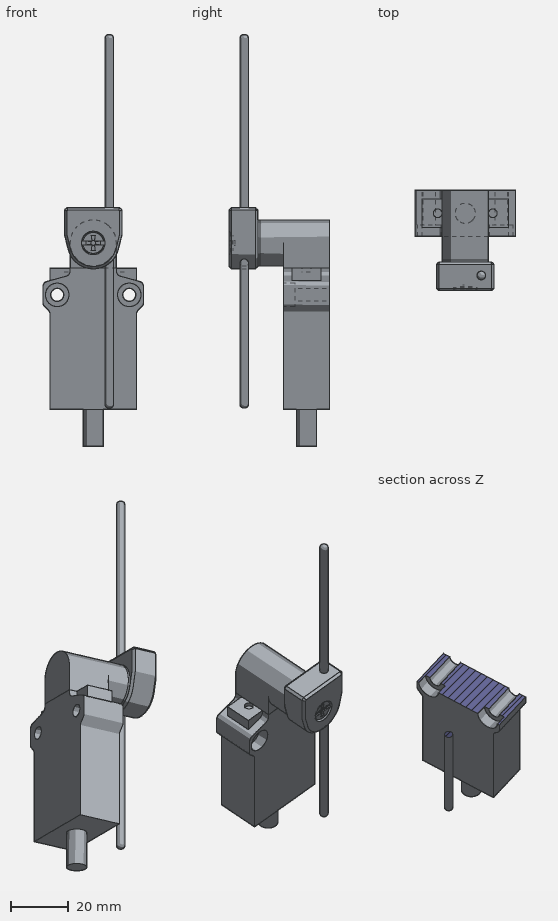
import cadquery as cq
import math


body_width = 30.0
body_depth = 16.0
body_bottom = 12.9
body_top = 62.0
neck_width = 16.0
ear_span = 35.0
ear_bottom = 49.2
shoulder_angle = 15.0
shoulder_bottom = 57.0
outline_radius = 2.0

mount_spacing = 25.0
mount_height = 52.7
mount_diameter = 4.5
counterbore_diameter = 8.2
counterbore_depth = 4.0

block_depth = 10.0
block_bottom = mount_height
block_hole_offset = 9.6
block_hole_diameter = 3.0
block_hole_depth = 1.5

cable_diameter = 7.0

barrel_height = 70.7
barrel_diameter = neck_width
barrel_length = 24.2

hub_length = 0.7
clamp_width = 20.0
clamp_thickness = 10.0
clamp_top = 83.0
clamp_side_bottom = 73.5
clamp_end_radius = 9.0
clamp_chamfer = 0.9
clamp_back = barrel_length + hub_length

screw_diameter = 8.2
screw_floor_diameter = 7.3
screw_recess = 0.6
slot_width = 1.5
slot_depth = 0.6
cross_reach = 2.6
cross_tip_width = 1.5
cross_root_width = 0.6
cross_depth = 0.9
cross_center_diameter = 1.7
cross_center_depth = 1.5

rod_diameter = 3.0
rod_offset = 5.6
rod_distance = 29.6
rod_bottom = 13.3
rod_top = 143.1
rod_end_radius = 1.3

body_middle = -body_depth / 2
clamp_front = -(clamp_back + clamp_thickness)


def front_plane(y):
    """Sketch plane at depth y: local x is X, local y is Z, and extrusion goes toward -Y."""
    return cq.Workplane("XZ", origin=(0, y, 0))


def body_shell():
    """Plate with two ears, sloped shoulders and a neck, with rounded outline corners."""
    half_body = body_width / 2
    half_neck = neck_width / 2
    half_ear = ear_span / 2
    ear_overhang = half_ear - half_body
    rise = (half_ear - half_neck) * math.tan(math.radians(shoulder_angle))
    right_side = [
        (half_body, body_bottom),
        (half_body, ear_bottom - ear_overhang),
        (half_ear, ear_bottom),
        (half_ear, shoulder_bottom),
        (half_neck, shoulder_bottom + rise),
        (half_neck, body_top),
    ]
    left_side = [(-x, z) for x, z in reversed(right_side)]
    shell = front_plane(0).polyline(right_side + left_side).close().extrude(body_depth)
    return shell.edges("|Y and (not <Z) and (not >Z)").fillet(outline_radius)


def make_body():
    """Shell with a block across the shoulders, a cable below, and the holes of both sides."""
    body = body_shell()
    block_height = body_top - block_bottom
    block = cq.Workplane("XY", origin=(0, body_middle, block_bottom)).rect(body_width, block_depth)
    body = body.union(block.extrude(block_height))
    cable = cq.Workplane("XY", origin=(0, body_middle, 0)).circle(cable_diameter / 2)
    body = body.union(cable.extrude(body_bottom))
    counterbore_floor = counterbore_depth - body_depth
    for side in (-1, 1):
        mount_x = side * mount_spacing / 2
        mount_hole = front_plane(0).center(mount_x, mount_height).circle(mount_diameter / 2)
        body = body.cut(mount_hole.extrude(body_depth))
        counterbore = front_plane(counterbore_floor).center(mount_x, mount_height)
        body = body.cut(counterbore.circle(counterbore_diameter / 2).extrude(counterbore_depth))
        block_hole = cq.Workplane("XY", origin=(side * block_hole_offset, body_middle, body_top))
        body = body.cut(block_hole.circle(block_hole_diameter / 2).extrude(-block_hole_depth))
    return body


def make_head():
    """Round barrel on a straight foot that is as wide as the neck."""
    barrel = front_plane(0).center(0, barrel_height).circle(barrel_diameter / 2).extrude(barrel_length)
    foot_height = barrel_height - body_top
    foot = front_plane(0).center(0, body_top + foot_height / 2).rect(neck_width, foot_height)
    return barrel.union(foot.extrude(body_depth))


def clamp():
    """Plate with straight sides that taper into a round lower end around the barrel axis."""
    half_width = clamp_width / 2
    side_drop = clamp_side_bottom - barrel_height
    corner_angle = math.atan2(side_drop, half_width)
    tangent_angle = corner_angle - math.acos(clamp_end_radius / math.hypot(half_width, side_drop))
    tangent_x = clamp_end_radius * math.cos(tangent_angle)
    tangent_z = barrel_height + clamp_end_radius * math.sin(tangent_angle)
    plate = (
        front_plane(-clamp_back)
        .moveTo(-half_width, clamp_top)
        .lineTo(half_width, clamp_top)
        .lineTo(half_width, clamp_side_bottom)
        .lineTo(tangent_x, tangent_z)
        .threePointArc((0, barrel_height - clamp_end_radius), (-tangent_x, tangent_z))
        .lineTo(-half_width, clamp_side_bottom)
        .close()
        .extrude(clamp_thickness)
    )
    top_corners = plate.faces(">Z").edges("|Y")
    return top_corners.chamfer(clamp_chamfer).faces("<Y or >Y").chamfer(clamp_chamfer)


def screw_recesses():
    """Tapered round recess whose floor has a full slot, a cross and a round center, each one deeper."""
    floor = clamp_front + screw_recess

    def sketch(depth):
        return front_plane(floor + depth).center(0, barrel_height)

    recess = (
        sketch(0)
        .circle(screw_floor_diameter / 2)
        .workplane(offset=screw_recess)
        .circle(screw_diameter / 2)
        .loft()
    )
    slot = sketch(slot_depth).rect(screw_diameter, slot_width).extrude(slot_depth + screw_recess)
    center = sketch(cross_center_depth).circle(cross_center_diameter / 2).extrude(cross_center_depth)
    recesses = recess.union(slot).union(center)
    cross_arm_outline = [
        (-cross_root_width / 2, 0),
        (cross_root_width / 2, 0),
        (cross_tip_width / 2, cross_reach),
        (-cross_tip_width / 2, cross_reach),
    ]
    for angle in (0, 90, 180, 270):
        arm_plane = sketch(cross_depth).transformed(rotate=(0, 0, angle))
        recesses = recesses.union(arm_plane.polyline(cross_arm_outline).close().extrude(cross_depth))
    return recesses


def make_lever():
    """Hub against the barrel end, clamp plate and upright rod with rounded ends."""
    hub = front_plane(-barrel_length).center(0, barrel_height).circle(barrel_diameter / 2)
    rod = (
        cq.Workplane("XY", origin=(rod_offset, -rod_distance, rod_bottom))
        .circle(rod_diameter / 2)
        .extrude(rod_top - rod_bottom)
        .edges("%CIRCLE")
        .fillet(rod_end_radius)
    )
    return clamp().cut(screw_recesses()).union(hub.extrude(hub_length)).union(rod)


body = make_body()
head = make_head()
lever = make_lever()
result = cq.Compound.makeCompound([body.val(), head.val(), lever.val()])